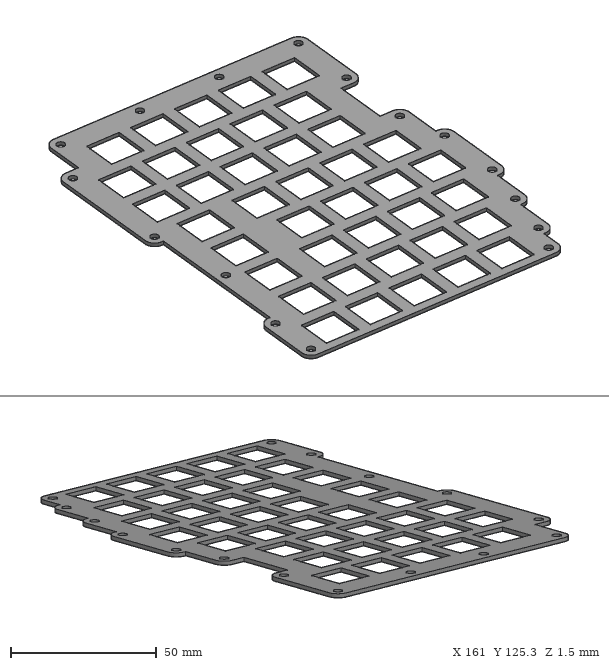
import cadquery as cq

length = 161.0
width = 125.3
thickness = 1.5
key_pitch = 19.0
key_size = 14.0
screw_diameter = 3.2
corner_radius = 4.0

half_step = key_pitch / 2
quarter_step = key_pitch / 4

left = -length / 2
right = length / 2
top = width / 2
bottom = -width / 2
shoulder_top = top - quarter_step
outer_top = shoulder_top - quarter_step
end_top = outer_top - quarter_step
notch_floor = end_top
left_bottom = bottom + half_step
middle_bottom = bottom + quarter_step

notch_left = -45.4
notch_right = -23.5
crown_left = -4.5
crown_right = 30.3
shoulder_right = 49.5
outer_right = 68.6
left_foot_start = -61.3
left_foot_end = -7.4
right_foot_start = 52.5

outline = [
    (left, left_bottom, True),
    (left, shoulder_top, True),
    (notch_left, shoulder_top, True),
    (notch_left, notch_floor, False),
    (notch_right, notch_floor, False),
    (notch_right, shoulder_top, True),
    (crown_left, shoulder_top, False),
    (crown_left, top, True),
    (crown_right, top, True),
    (crown_right, shoulder_top, False),
    (shoulder_right, shoulder_top, True),
    (shoulder_right, outer_top, False),
    (outer_right, outer_top, True),
    (outer_right, end_top, False),
    (right, end_top, True),
    (right, bottom, True),
    (right_foot_start, bottom, True),
    (right_foot_start, middle_bottom, False),
    (left_foot_end, middle_bottom, False),
    (left_foot_end, bottom, True),
    (left_foot_start, bottom, True),
    (left_foot_start, left_bottom, False),
]

first_key_x = -63.1
first_key_y = 40.2
columns = [
    (0, 5, False),
    (-2, 5, False),
    (-2, 5, False),
    (0, 4, True),
    (1, 4, True),
    (0, 4, True),
    (-1, 5, False),
    (-2, 5, False),
]
thumb_drop = 17 * quarter_step
thumb_y = first_key_y - thumb_drop

side_screw_x = left + corner_radius
side_screw_top = shoulder_top - corner_radius
side_screw_bottom = left_bottom + corner_radius
bottom_screw = (22.4, -53.8)
side_screw_spaces = 3
side_screw_gap = (side_screw_top - side_screw_bottom) / side_screw_spaces


def key_centers():
    centers = []
    for index, (shift, count, has_thumb_key) in enumerate(columns):
        x = first_key_x + index * key_pitch
        column_top = first_key_y + shift * quarter_step
        for row in range(count):
            centers.append((x, column_top - row * key_pitch))
        if has_thumb_key:
            centers.append((x, thumb_y))
    return centers


def sign(value):
    return (value > 0) - (value < 0)


def rounded_corner(index):
    """Start, end and centre of the arc that rounds an outward corner between perpendicular sides."""
    x, y, _ = outline[index]
    previous_x, previous_y, _ = outline[index - 1]
    next_x, next_y, _ = outline[(index + 1) % len(outline)]
    start = (
        x + corner_radius * sign(previous_x - x),
        y + corner_radius * sign(previous_y - y),
    )
    end = (
        x + corner_radius * sign(next_x - x),
        y + corner_radius * sign(next_y - y),
    )
    center = (start[0] + end[0] - x, start[1] + end[1] - y)
    return start, end, center


def make_plate():
    first_start, first_end, _ = rounded_corner(0)
    profile = cq.Workplane("XY").moveTo(*first_end)
    for index, (x, y, rounded) in enumerate(outline[1:], start=1):
        if rounded:
            start, end, _ = rounded_corner(index)
            profile = profile.lineTo(*start).radiusArc(end, corner_radius)
        else:
            profile = profile.lineTo(x, y)
    profile = profile.lineTo(*first_start).radiusArc(first_end, corner_radius)
    return profile.close().extrude(thickness)


def screw_centers():
    centers = [rounded_corner(index)[2] for index, corner in enumerate(outline) if corner[2]]
    for step in range(1, side_screw_spaces):
        centers.append((side_screw_x, side_screw_bottom + step * side_screw_gap))
    centers.append(bottom_screw)
    return centers


plate = make_plate()
key_cutouts = cq.Workplane("XY").pushPoints(key_centers()).rect(key_size, key_size).extrude(thickness)
screw_holes = cq.Workplane("XY").pushPoints(screw_centers()).circle(screw_diameter / 2).extrude(thickness)
result = plate.cut(key_cutouts).cut(screw_holes)